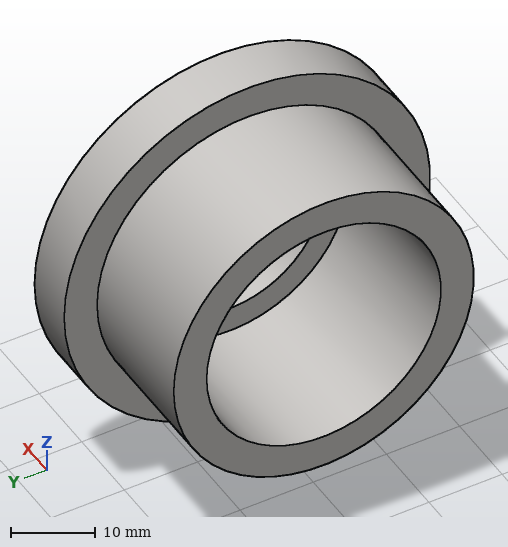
import cadquery as cq

total_length = 25
flange_diameter = 50
flange_thickness = 7
sleeve_diameter = 41
bore_diameter = 32
hole_diameter = 25
floor_thickness = 3

open_end_x = -total_length / 2
sleeve_length = total_length - flange_thickness
bore_depth = total_length - floor_thickness


def cylinder_along_x(diameter, start_x, length):
    """Solid cylinder on the X axis, extending toward +X from start_x."""
    return cq.Workplane("YZ", origin=(start_x, 0, 0)).circle(diameter / 2).extrude(length)


sleeve = cylinder_along_x(sleeve_diameter, open_end_x, total_length)
flange = cylinder_along_x(flange_diameter, open_end_x + sleeve_length, flange_thickness)

bore = cylinder_along_x(bore_diameter, open_end_x, bore_depth)
through_hole = cylinder_along_x(hole_diameter, open_end_x, total_length)

result = sleeve.union(flange).cut(bore).cut(through_hole)